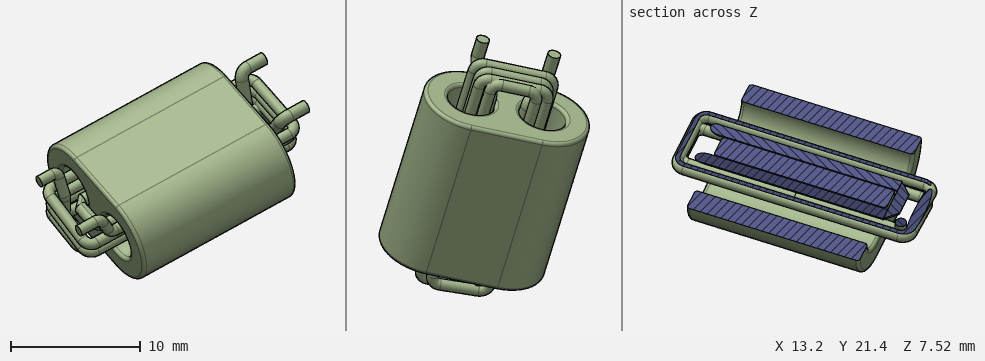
import cadquery as cq
import math

CORE_LENGTH = 14.35
CORE_WIDTH = 13.2
CORE_HEIGHT = 7.52
CORE_END_RADIUS = CORE_HEIGHT / 2
BORE_X = CORE_WIDTH / 2 - CORE_END_RADIUS
BORE_RADIUS = 1.88
CORE_FILLET = 0.28

WIRE_BEND_RADIUS = 0.75
TERMINAL_Y = 10.68
TERMINAL_X = BORE_X

THICK_RADIUS = 0.51
THICK_X = 1.5
THICK_Z = 0.09
LINK_Y = -7.81
LINK_JOINT_Y = LINK_Y + THICK_RADIUS
REAR_LEAD_LOW_Y = 8.13
REAR_LEAD_HIGH_Y = 8.5
THICK_TERMINAL_Z = CORE_HEIGHT / 2 - THICK_RADIUS

THIN_RADIUS = 0.45
COIL_END_Y = 9.67
OUTER_X = 3.12
MIDDLE_X = 2.71
INNER_X = 1.81
TURN_PITCH = 0.96
FIRST_Z = 1.37
SECOND_Z = FIRST_Z - TURN_PITCH
THIRD_Z = SECOND_Z - TURN_PITCH
LAST_Z = -0.96
THIN_TERMINAL_Z = CORE_HEIGHT / 2 - THIN_RADIUS
COIL_LEAD_LOW_Y = -7.88
COIL_LEAD_HIGH_Y = -8.65
RISER_Y = -8.73
RISER_TOP_Z = 1.28
RISER_BEND_RADIUS = 0.47
SECOND_TERMINAL_Y = -10.45
THIN_JOINT_Y = 0.0


def bent_path(points, bend_radius):
    """Straight runs through the points, joined by tangent arcs of one radius."""
    corners = [cq.Vector(*point) for point in points]
    edges = []
    start = corners[0]
    for before, corner, after in zip(corners, corners[1:], corners[2:]):
        back = (before - corner).normalized()
        onward = (after - corner).normalized()
        half_angle = back.getAngle(onward) / 2
        setback = bend_radius / math.tan(half_angle)
        arc_start = corner + back * setback
        arc_end = corner + onward * setback
        inward = (back + onward).normalized()
        arc_middle = corner + inward * (bend_radius / math.sin(half_angle) - bend_radius)
        edges.append(cq.Edge.makeLine(start, arc_start))
        edges.append(cq.Edge.makeThreePointArc(arc_start, arc_middle, arc_end))
        start = arc_end
    edges.append(cq.Edge.makeLine(start, corners[-1]))
    return cq.Wire.assembleEdges(edges)


def bent_wire(points, wire_radius, bend_radius=WIRE_BEND_RADIUS):
    """A round wire that follows the points."""
    first = cq.Vector(*points[0])
    direction = cq.Vector(*points[1]) - first
    section = cq.Workplane(cq.Plane(origin=first, normal=direction)).circle(wire_radius)
    return section.sweep(cq.Workplane(bent_path(points, bend_radius)))


def make_core():
    core = (
        cq.Workplane("XZ")
        .slot2D(CORE_WIDTH, CORE_HEIGHT)
        .pushPoints([(-BORE_X, 0), (BORE_X, 0)])
        .circle(BORE_RADIUS)
        .extrude(CORE_LENGTH / 2, both=True)
    )
    return core.faces("<Y or >Y").edges().fillet(CORE_FILLET)


def thick_section(center, direction):
    return cq.Wire.makeCircle(THICK_RADIUS, cq.Vector(*center), cq.Vector(*direction))


def make_front_link():
    """A cross wire with a straight-ruled corner at each end."""
    corner_x = THICK_X - THICK_RADIUS
    sections = [
        thick_section((-THICK_X, LINK_JOINT_Y, THICK_Z), (0, -1, 0)),
        thick_section((-corner_x, LINK_Y, THICK_Z), (1, 0, 0)),
        thick_section((corner_x, LINK_Y, THICK_Z), (1, 0, 0)),
        thick_section((THICK_X, LINK_JOINT_Y, THICK_Z), (0, 1, 0)),
    ]
    return cq.Workplane(cq.Solid.makeLoft(sections, True))


def make_rear_lead(side):
    points = [
        (side * THICK_X, LINK_JOINT_Y, THICK_Z),
        (side * THICK_X, REAR_LEAD_LOW_Y, THICK_Z),
        (side * TERMINAL_X, REAR_LEAD_HIGH_Y, THICK_TERMINAL_Z),
        (side * TERMINAL_X, TERMINAL_Y, THICK_TERMINAL_Z),
    ]
    return bent_wire(points, THICK_RADIUS)


def make_coil():
    points = [
        (TERMINAL_X, -TERMINAL_Y, THIN_TERMINAL_Z),
        (TERMINAL_X, COIL_LEAD_HIGH_Y, THIN_TERMINAL_Z),
        (OUTER_X, COIL_LEAD_LOW_Y, FIRST_Z),
    ]
    turns = [(OUTER_X, FIRST_Z, MIDDLE_X), (MIDDLE_X, SECOND_Z, MIDDLE_X), (MIDDLE_X, THIRD_Z, INNER_X)]
    next_levels = [SECOND_Z, THIRD_Z, LAST_Z]
    for (x, z, next_x), next_z in zip(turns, next_levels):
        points += [
            (x, COIL_END_Y, z),
            (-x, COIL_END_Y, z),
            (-x, -COIL_END_Y, z),
            (next_x, -COIL_END_Y, next_z),
        ]
    points += [
        (INNER_X, COIL_END_Y, LAST_Z),
        (-INNER_X, COIL_END_Y, LAST_Z),
        (-INNER_X, THIN_JOINT_Y, LAST_Z),
    ]
    return bent_wire(points, THIN_RADIUS)


def make_coil_lead():
    points = [
        (-INNER_X, THIN_JOINT_Y, LAST_Z),
        (-INNER_X, RISER_Y, LAST_Z),
        (-INNER_X, RISER_Y, RISER_TOP_Z),
        (-TERMINAL_X, RISER_Y, THIN_TERMINAL_Z),
        (-TERMINAL_X, SECOND_TERMINAL_Y, THIN_TERMINAL_Z),
    ]
    return bent_wire(points, THIN_RADIUS, RISER_BEND_RADIUS)


core = make_core()
front_link = make_front_link()
rear_leads = [make_rear_lead(side) for side in (-1, 1)]
coil = make_coil()
coil_lead = make_coil_lead()

result = cq.Compound.makeCompound(
    [core.val(), front_link.val(), *[lead.val() for lead in rear_leads], coil.val(), coil_lead.val()]
)